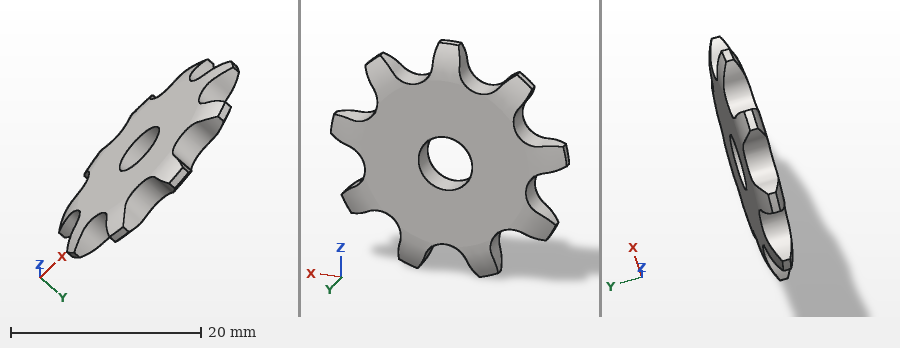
import cadquery as cq
import math

tooth_count = 9
thickness = 2.8
bore_diameter = 6.0
tip_radius = 13.3
chain_pitch = 8.0
seat_radius = 2.5
tip_half_width = 1.1
face_radius = 9.4
tip_thickness = 0.85
rim_clearance = 0.26

tooth_angle = 360 / tooth_count

half_pitch = math.radians(tooth_angle / 2)
pitch_radius = chain_pitch / (2 * math.sin(half_pitch))
flank_start_x = chain_pitch / 2 - seat_radius
flank_start_z = pitch_radius * math.cos(half_pitch)
tip_corner_z = math.sqrt(tip_radius**2 - tip_half_width**2)
root_radius = pitch_radius - seat_radius


def turned(x, z, index):
    """Turn a point of the top tooth about the axis by a number of teeth."""
    angle = math.radians(tooth_angle * index)
    turned_x = x * math.cos(angle) + z * math.sin(angle)
    turned_z = z * math.cos(angle) - x * math.sin(angle)
    return turned_x, turned_z


def flank_middle():
    """Middle point of the right flank arc, which leaves the seat in the Z direction."""
    run = tip_corner_z - flank_start_z
    drop = flank_start_x - tip_half_width
    flank_radius = (run**2 + drop**2) / (2 * drop)
    half_sweep = math.atan2(drop, run)
    middle_x = flank_start_x - flank_radius * (1 - math.cos(half_sweep))
    middle_z = flank_start_z + flank_radius * math.sin(half_sweep)
    return middle_x, middle_z


def toothed_plate():
    """Plate with convex flanks, round tips and roller seats."""
    middle_x, middle_z = flank_middle()
    outline = cq.Workplane("XZ").moveTo(-flank_start_x, flank_start_z)
    for i in range(tooth_count):
        left_corner = turned(-tip_half_width, tip_corner_z, i)
        right_corner = turned(tip_half_width, tip_corner_z, i)
        flank_end = turned(flank_start_x, flank_start_z, i)
        seat_bottom = turned(0, root_radius, i + 0.5)
        next_flank_start = turned(-flank_start_x, flank_start_z, i + 1)
        outline = (
            outline
            .threePointArc(turned(-middle_x, middle_z, i), left_corner)
            .threePointArc(turned(0, tip_radius, i), right_corner)
            .threePointArc(turned(middle_x, middle_z, i), flank_end)
            .threePointArc(seat_bottom, next_flank_start)
        )
    return outline.close().extrude(thickness / 2, both=True)


def rounded_disc():
    """Bored disc whose sides curve in, tangent to the flat faces, towards the rim."""
    half_thickness = thickness / 2
    half_tip = tip_thickness / 2
    rim_radius = tip_radius + rim_clearance
    bore_radius = bore_diameter / 2
    run = tip_radius - face_radius
    drop = half_thickness - half_tip
    side_radius = (run**2 + drop**2) / (2 * drop)
    half_sweep = math.atan2(drop, run)
    middle_r = face_radius + side_radius * math.sin(half_sweep)
    middle_y = half_thickness - side_radius * (1 - math.cos(half_sweep))
    return (
        cq.Workplane("XY")
        .moveTo(bore_radius, -half_thickness)
        .lineTo(face_radius, -half_thickness)
        .threePointArc((middle_r, -middle_y), (tip_radius, -half_tip))
        .lineTo(rim_radius, -half_tip)
        .lineTo(rim_radius, half_tip)
        .lineTo(tip_radius, half_tip)
        .threePointArc((middle_r, middle_y), (face_radius, half_thickness))
        .lineTo(bore_radius, half_thickness)
        .close()
        .revolve(360, (0, 0, 0), (0, 1, 0))
    )


result = toothed_plate().intersect(rounded_disc())